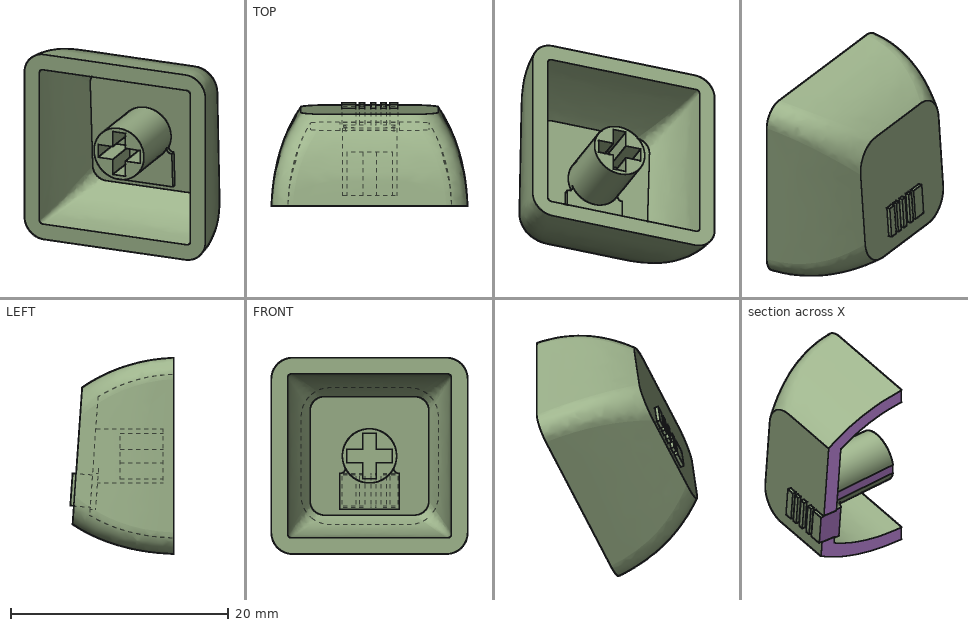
import cadquery as cq
import math

cap_size = 18.1
cap_height = 8.89
wall = 1.5
top_tilt = 4.0
top_size = 12.63
mid_size = 16.72
base_radius = 2.0
mid_radius = 2.14
top_radius = 2.66

cavity_size = cap_size - 2 * wall
ceiling_size = 10.93
cavity_bulge = 0.25
cavity_radius = 0.36
mid_cavity_radius = 0.65
ceiling_radius = 1.3
ceiling_height = cap_height - wall / math.cos(math.radians(top_tilt))

stem_diameter = 5.0
stem_recess = 1.0
cross_length = 4.2
cross_width = 1.25
cross_depth = 4.0
plate_width = 5.47
plate_bottom = -4.9
plate_top = -1.6
plate_thickness = 0.5
web_radius = 0.4
bar_bottom = -4.72
bar_top = -1.74
bar_rise = 0.33
bar_spans = [(-2.57, -1.25), (-0.92, -0.45), (0.13, 0.6), (1.05, 1.52), (1.85, 2.6)]


def plane_across(height, tilt=0.0):
    """Plane facing +Y at the given height on the axis; its local y runs toward -Z."""
    angle = math.radians(tilt)
    return cq.Plane(
        origin=(0, height, 0),
        xDir=(1, 0, 0),
        normal=(0, math.cos(angle), math.sin(angle)),
    )


def rounded_square(size, radius, height, tilt):
    """Wire of a square with rounded corners, centred on the cap axis."""
    square = cq.Workplane(plane_across(height, tilt)).rect(size, size).val()
    return square.fillet2D(radius, square.Vertices())


def bulged_block(sizes, radii, height):
    """Smooth loft through three rounded squares, the last one tilted like the top face."""
    sections = []
    for share, size, radius in zip((0, 0.5, 1), sizes, radii):
        section = rounded_square(size, radius, share * height, share * top_tilt)
        sections.append(section)
    return cq.Workplane(cq.Solid.makeLoft(sections))


def make_shell():
    """Keycap with bulging sides, hollow from the rim to the ceiling."""
    outside = bulged_block(
        (cap_size, mid_size, top_size), (base_radius, mid_radius, top_radius), cap_height
    )
    mid_cavity_size = cavity_size - cavity_bulge * (cavity_size - ceiling_size)
    cavity = bulged_block(
        (cavity_size, mid_cavity_size, ceiling_size),
        (cavity_radius, mid_cavity_radius, ceiling_radius),
        ceiling_height,
    )
    return outside.cut(cavity)


def ceiling_slab(thickness):
    """Slab of the given thickness under the ceiling, wider than the cavity."""
    ceiling = cq.Workplane(plane_across(ceiling_height, top_tilt))
    return ceiling.rect(cap_size, cap_size).extrude(-thickness)


def make_plate():
    """Plate below the stem, blended into it by an arc on each side."""
    half_width = plate_width / 2
    stem_radius = stem_diameter / 2
    center_z = plate_top + web_radius
    center_x = math.sqrt((stem_radius + web_radius) ** 2 - center_z**2)
    shrink = stem_radius / (stem_radius + web_radius)
    stem_touch = (center_x * shrink, center_z * shrink)
    to_axis = math.atan2(-center_z, -center_x)
    straight_down = 1.5 * math.pi
    mid_angle = (to_axis + straight_down) / 2
    arc_mid = (
        center_x + web_radius * math.cos(mid_angle),
        center_z + web_radius * math.sin(mid_angle),
    )
    outline = (
        cq.Workplane("XZ")
        .moveTo(0, plate_bottom)
        .lineTo(half_width, plate_bottom)
        .lineTo(half_width, plate_top)
        .lineTo(center_x, plate_top)
        .threePointArc(arc_mid, stem_touch)
        .lineTo(0, stem_touch[1])
        .mirrorY()
    )
    return outline.extrude(-cap_height).intersect(ceiling_slab(plate_thickness))


def make_stem():
    """Round stem with a cross socket in its free end, standing on the ceiling."""
    stem_plane = plane_across(stem_recess)
    stem = cq.Workplane(stem_plane).circle(stem_diameter / 2).extrude(cap_height)
    stem = stem.intersect(ceiling_slab(cap_height))
    for width, length in ((cross_length, cross_width), (cross_width, cross_length)):
        slot = cq.Workplane(stem_plane).rect(width, length).extrude(cross_depth)
        stem = stem.cut(slot)
    return stem


def make_bar(left, right):
    """Bar from the plate, through the top wall, to just above the top face."""
    root = cq.Workplane(plane_across(ceiling_height, top_tilt))
    bar = root.center((left + right) / 2, -(bar_top + bar_bottom) / 2)
    return bar.rect(right - left, bar_top - bar_bottom).extrude(wall + bar_rise)


def make_insert():
    """Stem, plate and bars as one solid."""
    insert = make_stem().union(make_plate())
    for left, right in bar_spans:
        insert = insert.union(make_bar(left, right))
    return insert


insert = make_insert()
shell = make_shell().cut(insert)

result = cq.Compound.makeCompound([shell.val(), insert.val()])